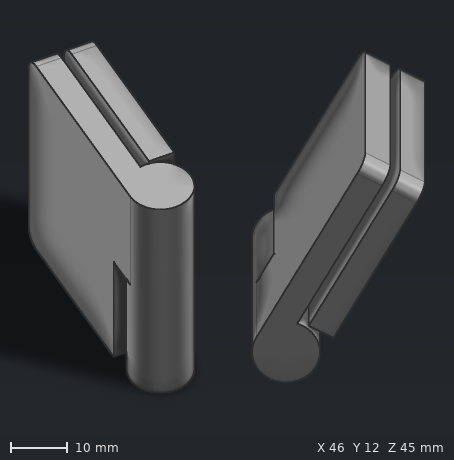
import cadquery as cq

length = 46.0
height = 45.0
thickness = 12.0
leaf_thickness = 5.0
corner_radius = 3.0
leaf_end = 33.5
front_step = 23.3
back_step = 21.65

barrel_radius = thickness / 2
barrel_x = length - barrel_radius


def box(x_min, x_max, y_min, y_max, z_min, z_max):
    size = (x_max - x_min, y_max - y_min, z_max - z_min)
    return cq.Workplane("XY").box(*size, centered=False).translate((x_min, y_min, z_min))


def leaf(y_min, y_max, knuckle_bottom, knuckle_top):
    """Plate with rounded free corners, extended to the barrel axis at its knuckle."""
    plate = box(0, leaf_end, y_min, y_max, 0, height)
    plate = plate.edges("|Y and <X").fillet(corner_radius)
    arm = box(leaf_end, barrel_x, y_min, y_max, knuckle_bottom, knuckle_top)
    return plate.union(arm)


barrel = cq.Workplane("XY").center(barrel_x, 0).circle(barrel_radius).extrude(height)
front_leaf = leaf(-barrel_radius, leaf_thickness - barrel_radius, front_step, height)
back_leaf = leaf(barrel_radius - leaf_thickness, barrel_radius, 0, back_step)

result = barrel.union(front_leaf).union(back_leaf)